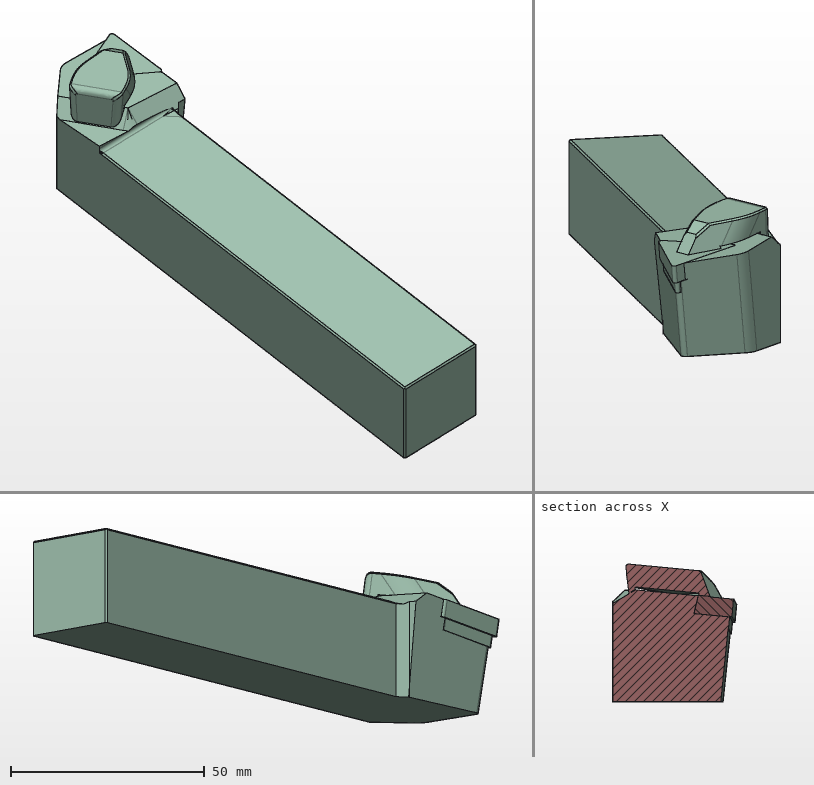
import cadquery as cq
import math

LENGTH = 149.5
SHANK_SIZE = 25.0
SHANK_CHAMFER = 0.5

HEAD_END_X = 31.0
HEAD_CORNER_X = 3.7
HEAD_CORNER_Y = 28.5
HEAD_TURN = 3.0
HEAD_LEAN = 0.105
BLANK_HEIGHT = 34.4
BLANK_MARGIN = 7.5
CORNER_FACE_X = 14.3
LEFT_ROUND = 5.2
NOSE_ROUND = 1.3
STEP_FILLET = 1.0
GUSSET = 2.4

OVERALL_WIDTH = 32.0
INSERT_SIDE = 22.0
INSERT_THICKNESS = 4.6
INSERT_NOSE = 0.7
SHIM_INSET = 0.6
SHIM_THICKNESS = 3.1

TIP_BISECTOR = math.radians(30.0 + HEAD_TURN)
TIP_X = INSERT_NOSE * (1 - 2 * math.cos(TIP_BISECTOR))
TIP_Y = OVERALL_WIDTH + INSERT_NOSE * (2 * math.sin(TIP_BISECTOR) - 1)
TIP_HEIGHT = SHANK_SIZE
RAKE = 0.095
PLATEAU_STEP = 4.0
PLATEAU_TAPER = 48.0
PLATEAU_END_X = 27.0
FAR = 89.7

CLAMP_X = 22.7
CLAMP_Y = 5.5
CLAMP_ANGLE = 123.0
CLAMP_HEIGHT = 6.5
CLAMP_LEAN = 0.86
CLAMP_SPARE = 1.5
CLAMP_ROUND = 2.1
CLAMP_EDGE = 0.5
BROW_RUN = 2.0
BROW_DROP = 1.5
FACET_U = 4.2
CLAMP_GAP = 0.6
CONTACT_U = 18.0
SLOPE_START_U = 18.5
SLOPE = 0.53
NOSE_U = 26.2
NOSE_HALF_WIDTH = 2.1
FLANK_U = 18.1
FLANK_HALF_WIDTH = 5.8
WAIST_U = 9.4
WAIST_HALF_WIDTH = 7.3
TAIL_U = -6.0
TAIL_HALF_WIDTH = 6.3


def plan_direction(angle):
    """Horizontal unit vector at an angle in degrees from +X."""
    return cq.Vector(math.cos(math.radians(angle)), math.sin(math.radians(angle)), 0)


def rake_frame(x, y, angle):
    """Frame on the rake plane above plan point (x, y), its x axis along a plan angle in degrees."""
    height = TIP_HEIGHT + RAKE * (x + TIP_Y - y)
    along = plan_direction(angle)
    climb = cq.Vector(0, 0, RAKE * (along.x - along.y))
    return cq.Plane(origin=(x, y, height), xDir=along + climb, normal=(-RAKE, RAKE, 1))


INSERT_FRAME = rake_frame(TIP_X, TIP_Y, -HEAD_TURN)
CLAMP_FRAME = rake_frame(CLAMP_X, CLAMP_Y, CLAMP_ANGLE)


def make_triangle_plate(inset, depth, thickness):
    """Triangular plate with its top at a depth below the rake plane, inset from the insert outline."""
    side = INSERT_SIDE - 2 * math.sqrt(3) * inset
    plate = (
        cq.Workplane(INSERT_FRAME)
        .workplane(offset=-depth)
        .moveTo(math.sqrt(3) * inset, -inset)
        .line(side, 0)
        .line(-side / 2, -side * math.sqrt(3) / 2)
        .close()
        .extrude(-thickness)
    )
    upright = cq.selectors.ParallelDirSelector(INSERT_FRAME.zDir)
    return plate.edges(upright).fillet(INSERT_NOSE)


def make_head_blank():
    """Head prism whose left and back faces lean outward, up to a height above the raked top."""
    turn = math.tan(math.radians(HEAD_TURN))
    left_y = (CORNER_FACE_X - HEAD_CORNER_X - turn * HEAD_CORNER_Y) / (1 - turn)
    left_x = CORNER_FACE_X - left_y
    end_x = HEAD_END_X + BLANK_MARGIN
    outline = cq.Workplane("XY").polyline([
        (HEAD_CORNER_X, HEAD_CORNER_Y),
        (left_x, left_y),
        (CORNER_FACE_X + BLANK_MARGIN, -BLANK_MARGIN),
        (end_x, -BLANK_MARGIN),
        (end_x, HEAD_CORNER_Y - turn * (end_x - HEAD_CORNER_X)),
    ]).close()
    lean = cq.Vector(-HEAD_LEAN, HEAD_LEAN, 1) * BLANK_HEIGHT
    blank = cq.Workplane(cq.Solid.extrudeLinear(outline.val(), [], lean))

    for x, y, radius in [
        (HEAD_CORNER_X, HEAD_CORNER_Y, NOSE_ROUND),
        (left_x, left_y, LEFT_ROUND),
    ]:
        edge_middle = cq.Vector(x, y, 0) + lean * 0.5
        corner_edge = cq.selectors.NearestToPointSelector(edge_middle.toTuple())
        blank = blank.edges(corner_edge).fillet(radius)

    bounds = cq.Workplane("XY").box(HEAD_END_X, FAR, FAR, centered=False)
    return blank.intersect(bounds)


def make_shank():
    shank = cq.Workplane("XY").box(LENGTH - CORNER_FACE_X, SHANK_SIZE, SHANK_SIZE, centered=False)
    shank = shank.translate((CORNER_FACE_X, 0, 0))
    shank = shank.faces(">Z").edges(">Y or <Y or >X").chamfer(SHANK_CHAMFER)
    return shank.edges("|Z and >X").chamfer(SHANK_CHAMFER)


def make_gusset():
    return (
        cq.Workplane("XY")
        .moveTo(HEAD_END_X, SHANK_SIZE)
        .line(GUSSET, 0)
        .line(-GUSSET, GUSSET)
        .close()
        .extrude(SHANK_SIZE + GUSSET)
    )


def make_step_fillet():
    return (
        cq.Workplane("XZ")
        .moveTo(HEAD_END_X, SHANK_SIZE)
        .line(STEP_FILLET, 0)
        .radiusArc((HEAD_END_X, SHANK_SIZE + STEP_FILLET), STEP_FILLET)
        .close()
        .extrude(-SHANK_SIZE)
    )


def make_rake_envelope():
    """Everything below the raked top: a tapered plateau over a lower, parallel ledge."""
    inward = plan_direction(CLAMP_ANGLE)
    facet_line = plan_direction(CLAMP_ANGLE - 90)
    facet_top = cq.Vector(CLAMP_X, CLAMP_Y, 0) + inward * FACET_U
    corner = facet_top + facet_line * ((PLATEAU_END_X - facet_top.x) / facet_line.x)
    frame = rake_frame(corner.x, corner.y, 0)
    far_facet = facet_line * -FAR
    plateau = (
        cq.Workplane(frame)
        .polyline([(0, 0), (0, FAR), (far_facet.x, FAR), (far_facet.x, far_facet.y)])
        .close()
        .extrude(-PLATEAU_STEP, taper=-PLATEAU_TAPER)
    )
    ledge_size = 4 * FAR
    ledge = (
        cq.Workplane(frame)
        .workplane(offset=-PLATEAU_STEP)
        .rect(ledge_size, ledge_size)
        .extrude(-FAR)
    )
    return plateau.union(ledge)


def make_finger():
    """Clamp outline swept along its backward lean, cut off at the back wall with rounded corners."""
    base_shift = CLAMP_LEAN * PLATEAU_STEP

    def base_point(u, v):
        return CLAMP_FRAME.toWorldCoords((u + base_shift, v, -PLATEAU_STEP))

    edges = []
    for side in (1, -1):
        nose = base_point(NOSE_U, side * NOSE_HALF_WIDTH)
        flank = base_point(FLANK_U, side * FLANK_HALF_WIDTH)
        waist = base_point(WAIST_U, side * WAIST_HALF_WIDTH)
        tail = base_point(TAIL_U, side * TAIL_HALF_WIDTH)
        edges.append(cq.Edge.makeLine(nose, flank))
        edges.append(cq.Edge.makeTangentArc(flank, flank - nose, waist))
        edges.append(cq.Edge.makeLine(waist, tail))
    for u, half_width in [(NOSE_U, NOSE_HALF_WIDTH), (TAIL_U, TAIL_HALF_WIDTH)]:
        edges.append(cq.Edge.makeLine(base_point(u, half_width), base_point(u, -half_width)))
    outline = cq.Wire.combine(edges)[0]

    rise = PLATEAU_STEP + CLAMP_HEIGHT + CLAMP_SPARE
    lean = (CLAMP_FRAME.zDir - CLAMP_FRAME.xDir * CLAMP_LEAN) * rise
    finger = cq.Workplane(cq.Solid.extrudeLinear(outline, [], lean))
    ahead_of_wall = cq.Workplane(CLAMP_FRAME).box(FAR, FAR, FAR, centered=(False, True, True))
    finger = finger.intersect(ahead_of_wall)

    back_wall = cq.selectors.DirectionMinMaxSelector(CLAMP_FRAME.xDir, False)
    across = cq.selectors.ParallelDirSelector(CLAMP_FRAME.yDir)
    return finger.faces(back_wall).edges(cq.selectors.InverseSelector(across)).fillet(CLAMP_ROUND)


def make_clamp_profile():
    """Side profile of the clamp, wider than the finger."""
    side_frame = cq.Plane(CLAMP_FRAME.origin, CLAMP_FRAME.xDir, -CLAMP_FRAME.yDir)
    return (
        cq.Workplane(side_frame)
        .workplane(offset=-FAR / 2)
        .moveTo(0, -PLATEAU_STEP)
        .lineTo(FACET_U, 0)
        .lineTo(FACET_U, CLAMP_GAP)
        .lineTo(CONTACT_U, CLAMP_GAP)
        .lineTo(CONTACT_U, 0)
        .lineTo(NOSE_U, 0)
        .lineTo(NOSE_U, CLAMP_HEIGHT - SLOPE * (NOSE_U - SLOPE_START_U))
        .lineTo(SLOPE_START_U, CLAMP_HEIGHT)
        .lineTo(BROW_RUN, CLAMP_HEIGHT)
        .spline([(0, CLAMP_HEIGHT - BROW_DROP)], tangents=[(-1, 0), (0, -1)], includeCurrent=True)
        .close()
        .extrude(FAR)
    )


def make_clamp():
    clamp = make_finger().intersect(make_clamp_profile())
    across = cq.selectors.ParallelDirSelector(CLAMP_FRAME.yDir)
    slope_normal = CLAMP_FRAME.zDir + CLAMP_FRAME.xDir * SLOPE
    top = cq.selectors.DirectionMinMaxSelector(CLAMP_FRAME.zDir, True)
    nose_slope = cq.selectors.DirectionSelector(slope_normal)
    tops = clamp.faces(cq.selectors.SumSelector(top, nose_slope))
    return tops.edges(cq.selectors.InverseSelector(across)).chamfer(CLAMP_EDGE)


def make_holder(pocket):
    """Shank, head, shim and clamp as one solid, with the insert's seat cut out."""
    body = make_head_blank().union(make_shank()).union(make_gusset()).union(make_step_fillet())
    body = body.intersect(make_rake_envelope())
    shim = make_triangle_plate(SHIM_INSET, INSERT_THICKNESS, SHIM_THICKNESS)
    return body.union(shim).union(make_clamp()).cut(pocket)


insert = make_triangle_plate(0, 0, INSERT_THICKNESS)
holder = make_holder(insert)
result = cq.Compound.makeCompound([holder.solids().val(), insert.val()])